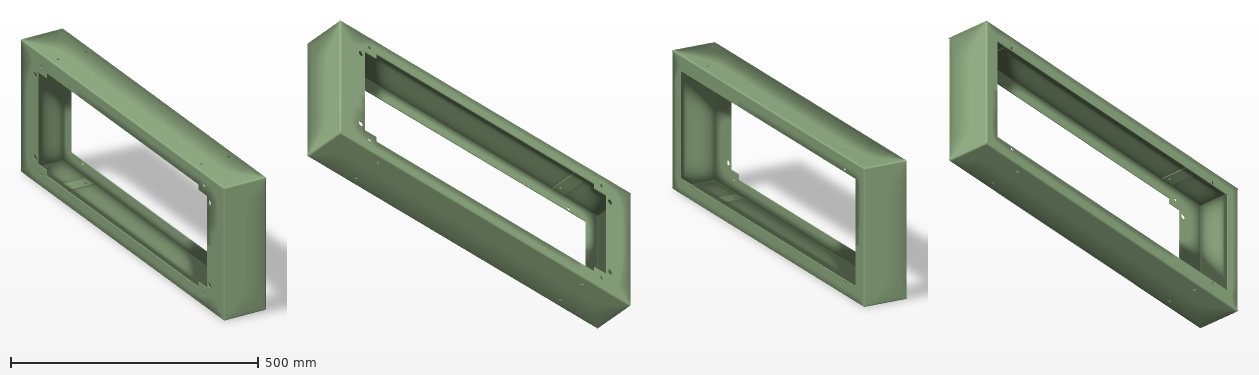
import cadquery as cq

LENGTH = 800.0
DEPTH = 100.0
HEIGHT = 300.0
SHEET = 2.0
BEND_RADIUS = 3.5

END_LENGTH = 100.0
FRONT_FLANGE = 67.5
FRONT_EAR_HEIGHT = 46.0
BACK_FLANGE = 34.0
BACK_EAR_HEIGHT = 34.0

RAIL_FLANGE = 34.0

TAB_LENGTH = 29.0
TAB_STEP_OVERLAP = SHEET
TAB_SIDE_GAP = 6.0

MOUNT_HOLE = 12.0
MOUNT_INSET = 57.0
EAR_HOLE = 7.5
EAR_HOLE_X = 81.0
EAR_HOLE_Z = 28.0
RAIL_HOLE = 6.0
RAIL_HOLE_FROM_JOINT = 19.0
RAIL_HOLE_SPACING = 65.0

HALF_LENGTH = LENGTH / 2
HALF_HEIGHT = HEIGHT / 2
JOINT_X = HALF_LENGTH - END_LENGTH
COVER_EDGE_Z = HALF_HEIGHT - BEND_RADIUS
SIDES = (-1, 1)


def block(x_range, depth, z_range):
    """Box centred on Y, given its X and Z limits."""
    size_x = x_range[1] - x_range[0]
    size_z = z_range[1] - z_range[0]
    return cq.Workplane("XY").box(size_x, depth, size_z).translate((sum(x_range) / 2, 0, sum(z_range) / 2))


def holes_along_y(points, diameter):
    """Cutters through the whole depth at (x, z) points."""
    cutters = cq.Workplane("XZ").pushPoints(points).circle(diameter / 2)
    return cutters.extrude(DEPTH / 2, both=True)


def rail_holes():
    """Cutters through the whole height for the screws joining rails and cover tabs."""
    x = JOINT_X - RAIL_HOLE_FROM_JOINT
    points = [(sx * x, sy * RAIL_HOLE_SPACING / 2) for sx in SIDES for sy in SIDES]
    return cq.Workplane("XY").pushPoints(points).circle(RAIL_HOLE / 2).extrude(HALF_HEIGHT, both=True)


def make_rail():
    """Upper channel rail with both flanges pointing down."""
    x_range = (-JOINT_X, JOINT_X)
    bottom = HALF_HEIGHT - RAIL_FLANGE
    outside = block(x_range, DEPTH, (bottom, HALF_HEIGHT)).edges("|X and >Z").fillet(BEND_RADIUS)
    inside = block(x_range, DEPTH - 2 * SHEET, (bottom, HALF_HEIGHT - SHEET))
    inside = inside.edges("|X and >Z").fillet(BEND_RADIUS - SHEET)
    return outside.cut(inside).cut(rail_holes())


def flange_notch(side, flange, ear_height):
    """Cutter between the ears of one flange; side is -1 for the front, 1 for the back."""
    ear_z = HALF_HEIGHT - ear_height
    notch = block((-HALF_LENGTH + flange, -JOINT_X), DEPTH / 2, (-ear_z, ear_z))
    return notch.translate((0, side * DEPTH / 4, 0))


def make_end_wall():
    """Left end wall: a U bent round two vertical edges, with ears reaching to the rails."""
    z_range = (-COVER_EDGE_Z, COVER_EDGE_Z)
    outside = block((-HALF_LENGTH, -JOINT_X), DEPTH, z_range)
    outside = outside.edges("|Z and <X").fillet(BEND_RADIUS)
    inside = block((-HALF_LENGTH + SHEET, -JOINT_X), DEPTH - 2 * SHEET, z_range)
    inside = inside.edges("|Z and <X").fillet(BEND_RADIUS - SHEET)

    mount_x = -HALF_LENGTH + MOUNT_INSET
    mount_points = [(mount_x, sz * (HALF_HEIGHT - MOUNT_INSET)) for sz in SIDES]
    ear_hole_x = -HALF_LENGTH + EAR_HOLE_X
    ear_points = [(ear_hole_x, sz * (HALF_HEIGHT - EAR_HOLE_Z)) for sz in SIDES]

    wall = outside.cut(inside)
    wall = wall.cut(flange_notch(-1, FRONT_FLANGE, FRONT_EAR_HEIGHT))
    wall = wall.cut(flange_notch(1, BACK_FLANGE, BACK_EAR_HEIGHT))
    wall = wall.cut(holes_along_y(mount_points, MOUNT_HOLE))
    return wall.cut(holes_along_y(ear_points, EAR_HOLE))


def rounded_cover_form(offset):
    """Cover envelope moved in by offset, its three rounded edges meeting in mitres."""
    radius = BEND_RADIUS - offset
    x_range = (-HALF_LENGTH + offset, -JOINT_X)
    z_range = (0, HALF_HEIGHT - offset)
    plain = block(x_range, DEPTH - 2 * offset, z_range)
    return plain.edges("|X and >Z").fillet(radius).intersect(plain.edges("|Y and <X and >Z").fillet(radius))


def make_corner_cover():
    """Upper left cover with a turned-down rim and a tab lying under the rail."""
    above_wall = block((-HALF_LENGTH, -JOINT_X), DEPTH, (COVER_EDGE_Z, HALF_HEIGHT))
    shell = rounded_cover_form(0).cut(rounded_cover_form(SHEET)).intersect(above_wall)
    tab_z = (HALF_HEIGHT - 2 * SHEET, HALF_HEIGHT - SHEET)
    tab_x = (-JOINT_X - TAB_STEP_OVERLAP, -JOINT_X + TAB_LENGTH)
    tab = block(tab_x, DEPTH - 2 * TAB_SIDE_GAP, tab_z)
    return shell.union(tab).cut(rail_holes())


upper_rail = make_rail()
left_wall = make_end_wall()
upper_left_cover = make_corner_cover()

rails = [upper_rail, upper_rail.mirror("XY")]
end_walls = [left_wall, left_wall.mirror("YZ")]
left_covers = [upper_left_cover, upper_left_cover.mirror("XY")]
corner_covers = left_covers + [cover.mirror("YZ") for cover in left_covers]

result = cq.Compound.makeCompound([body.val() for body in rails + end_walls + corner_covers])